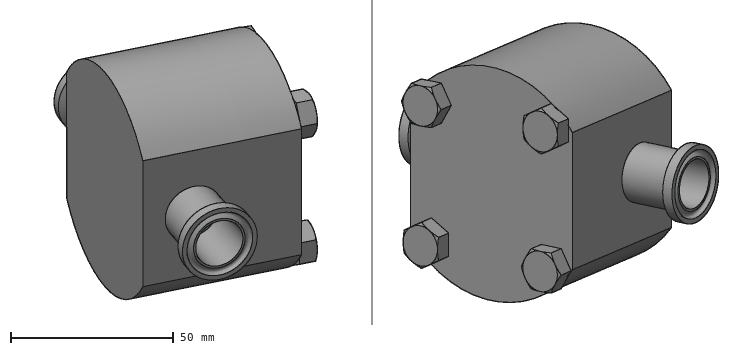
import cadquery as cq
import math

BODY_DIAMETER = 75.6
BODY_WIDTH = 61.2
HOUSING_LENGTH = 34.0
COVER_LENGTH = 19.0

OVERALL_WIDTH = 103.17
PORT_LENGTH = (OVERALL_WIDTH - BODY_WIDTH) / 2
STUB_LENGTH = 5.0
TUBE_RADIUS = 19.05 / 2
BORE_RADIUS = 15.75 / 2

FLANGE_RADIUS = 25.0 / 2
FLANGE_RIM = 3.5
FLANGE_BACK_ANGLE = 24.0
FLANGE_ROOT_RADIUS = 0.6

GROOVE_OUTER_RADIUS = 10.95
GROOVE_ROUND_OUTER_RADIUS = 10.8
GROOVE_ROUND_INNER_RADIUS = 9.4
GROOVE_INNER_RADIUS = 8.6
GROOVE_OUTER_WALL_DEPTH = 0.75
GROOVE_DEPTH = 1.5
GROOVE_INNER_WALL_DEPTH = 1.2
LIP_SETBACK = 0.45

BOLT_CIRCLE_RADIUS = 32.0
BOLT_COUNT = 4
BOLT_START_ANGLE = 45.0
HEAD_ACROSS_FLATS = 13.0
HEAD_ACROSS_CORNERS = HEAD_ACROSS_FLATS / math.cos(math.radians(30))
HEAD_HEIGHT = 5.95
HEAD_CHAMFER_ANGLE = 30.0
HEAD_TURN = 90.0 - BOLT_START_ANGLE

FRONT_Y = -HOUSING_LENGTH / 2
JOINT_Y = HOUSING_LENGTH / 2
BACK_Y = JOINT_Y + COVER_LENGTH


def section_along_y(start_y):
    """Workplane facing +Y, with local x along X and local y along -Z."""
    return cq.Workplane("XZ", origin=(0, start_y, 0)).transformed(rotate=(180, 0, 0))


def flat_sided_cylinder(start_y, length):
    round_body = section_along_y(start_y).circle(BODY_DIAMETER / 2).extrude(length)
    flats = section_along_y(start_y).rect(BODY_WIDTH, 2 * BODY_DIAMETER).extrude(length)
    return round_body.intersect(flats)


def round_edge_at(solid, x, radius, fillet_radius):
    """Fillet the circular edge of the given radius that lies at x."""
    tolerance = 0.01
    reach = radius + tolerance
    box = cq.selectors.BoxSelector(
        (x - tolerance, -reach, -reach), (x + tolerance, reach, reach), boundingbox=True
    )
    return solid.edges(box).fillet(fillet_radius)


def port():
    """Port on the +X side, revolved about the X axis."""
    body_x = BODY_WIDTH / 2
    face_x = body_x + PORT_LENGTH
    lip_x = face_x - LIP_SETBACK
    rim_x = face_x - FLANGE_RIM
    groove_middle_radius = (GROOVE_ROUND_OUTER_RADIUS + GROOVE_ROUND_INNER_RADIUS) / 2
    back_length = (FLANGE_RADIUS - TUBE_RADIUS) * math.tan(math.radians(FLANGE_BACK_ANGLE))
    stub = (
        cq.Workplane("YZ", origin=(body_x, 0, 0))
        .circle(TUBE_RADIUS)
        .circle(BORE_RADIUS)
        .extrude(STUB_LENGTH)
    )
    ferrule = (
        cq.Workplane("XY")
        .moveTo(body_x + STUB_LENGTH, BORE_RADIUS)
        .lineTo(body_x + STUB_LENGTH, TUBE_RADIUS)
        .lineTo(rim_x - back_length, TUBE_RADIUS)
        .lineTo(rim_x, FLANGE_RADIUS)
        .lineTo(face_x, FLANGE_RADIUS)
        .lineTo(face_x, GROOVE_OUTER_RADIUS)
        .lineTo(face_x - GROOVE_OUTER_WALL_DEPTH, GROOVE_ROUND_OUTER_RADIUS)
        .threePointArc(
            (face_x - GROOVE_DEPTH, groove_middle_radius),
            (face_x - GROOVE_INNER_WALL_DEPTH, GROOVE_ROUND_INNER_RADIUS),
        )
        .lineTo(lip_x, GROOVE_INNER_RADIUS)
        .lineTo(lip_x, BORE_RADIUS)
        .close()
        .revolve(360, (0, 0, 0), (1, 0, 0))
    )
    ferrule = round_edge_at(ferrule, rim_x - back_length, TUBE_RADIUS, FLANGE_ROOT_RADIUS)
    return stub.union(ferrule, clean=False)


def bolt_head(angle):
    """Hexagon head on the cover, its corners trimmed by a chamfer cone."""
    flat_radius = HEAD_ACROSS_FLATS / 2
    corner_radius = HEAD_ACROSS_CORNERS / 2
    chamfer_depth = (corner_radius - flat_radius) * math.tan(math.radians(HEAD_CHAMFER_ANGLE))
    hexagon = (
        section_along_y(BACK_Y)
        .polygon(6, HEAD_ACROSS_CORNERS)
        .extrude(HEAD_HEIGHT)
    )
    trimmer = (
        cq.Workplane("XY")
        .moveTo(0, BACK_Y)
        .lineTo(corner_radius, BACK_Y)
        .lineTo(corner_radius, BACK_Y + HEAD_HEIGHT - chamfer_depth)
        .lineTo(flat_radius, BACK_Y + HEAD_HEIGHT)
        .lineTo(0, BACK_Y + HEAD_HEIGHT)
        .close()
        .revolve(360, (0, 0, 0), (0, 1, 0))
    )
    return (
        hexagon.intersect(trimmer)
        .rotate((0, 0, 0), (0, 1, 0), HEAD_TURN)
        .translate((BOLT_CIRCLE_RADIUS, 0, 0))
        .rotate((0, 0, 0), (0, 1, 0), angle)
    )


result = flat_sided_cylinder(FRONT_Y, HOUSING_LENGTH)
result = result.union(flat_sided_cylinder(JOINT_Y, COVER_LENGTH), clean=False)

right_port = port()
result = result.union(right_port, clean=False)
result = result.union(right_port.mirror("YZ"), clean=False)

for bolt in range(BOLT_COUNT):
    bolt_angle = BOLT_START_ANGLE + bolt * 360 / BOLT_COUNT
    result = result.union(bolt_head(bolt_angle), clean=False)